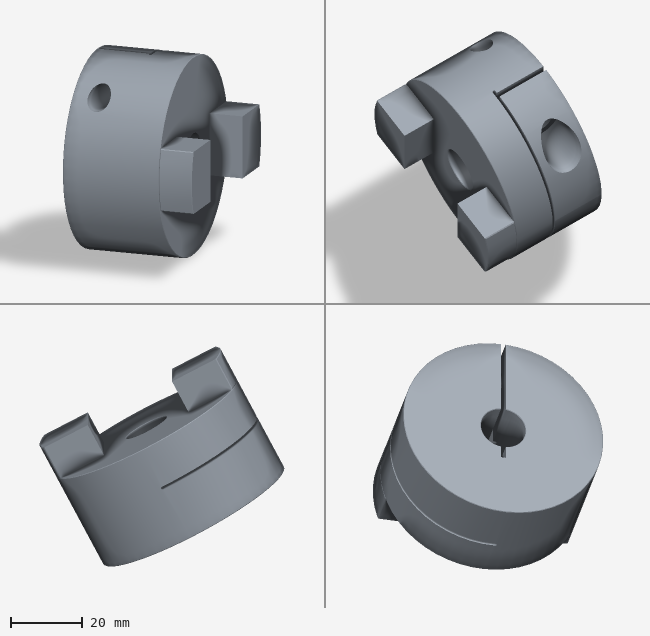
import cadquery as cq

outer_diameter = 57.15
hub_length = 28.4
bore_diameter = 12.75
edge_chamfer = 0.2

total_length = 38.2
jaw_width = 17.9
jaw_gap = 26.5
jaw_chamfer = 0.25

slit_width = 1.4
slit_bottom_z = -10.1
cross_slot_start = 15.65
cross_slot_width = 0.85
cross_slot_end_y = -1.85

screw_x = cross_slot_start / 2
screw_z = 20.0
screw_hole_diameter = 6.6
screw_head_diameter = 11.1
screw_seat_y = 10.0

outer_radius = outer_diameter / 2


def make_hub():
    """Disc along X with chamfered outer and bore edges."""
    disc = cq.Workplane("YZ").circle(outer_radius).circle(bore_diameter / 2).extrude(hub_length)
    return disc.faces("<X or >X").edges().chamfer(edge_chamfer)


def make_jaws():
    """Two opposite jaws whose outer faces follow the hub diameter, with chamfered borders."""
    length = total_length - hub_length
    plane = cq.Workplane("YZ", origin=(hub_length, 0, 0))
    bar = plane.rect(outer_diameter, jaw_width).extrude(length)
    bar = bar.intersect(plane.circle(outer_radius).extrude(length))
    bar = bar.faces("<Y or >Y").edges().chamfer(jaw_chamfer)
    return bar.cut(plane.rect(jaw_gap, outer_diameter).extrude(length))


def make_slit():
    """Slot from the rim through the bore, up to the cross slot."""
    slit_height = outer_radius - slit_bottom_z
    slit = cq.Workplane("XY").box(
        cross_slot_start, slit_width, slit_height, centered=(False, True, False)
    )
    return slit.translate((0, 0, slit_bottom_z))


def make_cross_slot():
    """Saw cut across the hub on the +Y side, full height, with a rounded end."""
    end_radius = cross_slot_width / 2
    round_center = (cross_slot_start + end_radius, cross_slot_end_y + end_radius)
    plane = cq.Workplane("XY", origin=(*round_center, -outer_radius))
    round_end = plane.circle(end_radius).extrude(outer_diameter)
    cut_length = outer_radius - round_center[1]
    cut = plane.center(0, cut_length / 2).rect(cross_slot_width, cut_length).extrude(outer_diameter)
    return cut.union(round_end)


def make_cylinder_along_y(diameter, start_y):
    """Screw-axis cylinder from start_y to the +Y rim."""
    plane = cq.Plane(origin=(screw_x, start_y, screw_z), xDir=(1, 0, 0), normal=(0, 1, 0))
    return cq.Workplane(plane).circle(diameter / 2).extrude(outer_radius - start_y)


result = (
    make_hub()
    .union(make_jaws())
    .cut(make_slit())
    .cut(make_cross_slot())
    .cut(make_cylinder_along_y(screw_hole_diameter, -outer_radius))
    .cut(make_cylinder_along_y(screw_head_diameter, screw_seat_y))
)